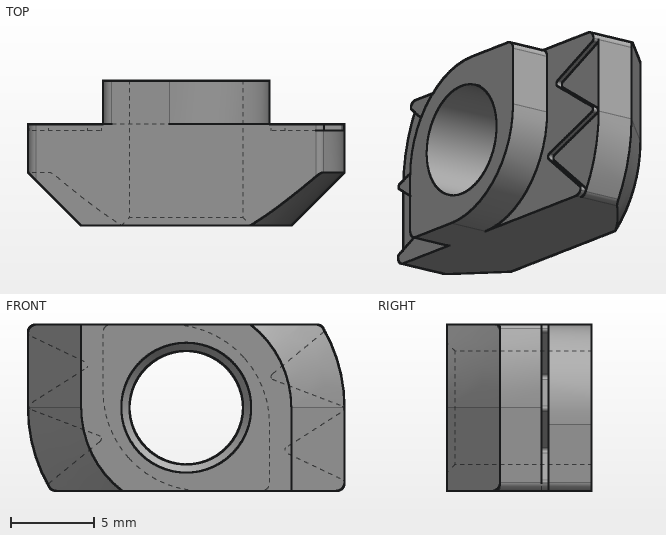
import cadquery as cq
import math

half_length = 9.505
half_height = 5.0
flange_depth = 5.7
rim_depth = 0.4
boss_depth = 2.6
front_chamfer = 3.2
corner_radius = 0.5
boss_turn_radius = 6.0
turn_clearance = 0.001
hole_diameter = 6.8
hole_chamfer = 0.5

tooth_radius = 0.2
top_tip_height = 4.38
upper_root_height = 2.57
middle_tip_height = 0.03
lower_root_height = -1.8
bottom_tip_height = -4.6
upper_root_reach = 5.7
lower_root_reach = 4.9
middle_tip_reach = 9.69

boss_start = flange_depth + rim_depth
total_depth = boss_start + boss_depth


def prism(profile_points, start, depth):
    """Closed XZ outline extruded along +Y from Y = start."""
    plane = cq.Workplane("XZ", origin=(0, start, 0))
    return plane.polyline(profile_points).close().extrude(-depth)


def turning_block(half_size, turn_radius, start, depth):
    """Square block whose upper right and lower left corners are rounded for turning in a slot."""
    s = half_size
    square = [(-s, -s), (s, -s), (s, s), (-s, s)]
    block = prism(square, start, depth)
    return round_corners(block, [(s, s), (-s, -s)], turn_radius)


def round_corners(body, corners, radius):
    """Round the edges along Y that pass through the given XZ corners."""
    mid_y = body.val().Center().y
    for x, z in corners:
        corner = cq.selectors.NearestToPointSelector((x, mid_y, z))
        body = body.edges("|Y").edges(corner).fillet(radius)
    return body


def both_ends(points):
    """The points together with their half-turn images about the hole axis."""
    return points + [(-x, -z) for x, z in points]


def arc_reach(z):
    """Distance along X from the hole axis to the turning arc of the flange at height z."""
    return math.sqrt(half_length**2 - z**2)


square_corner = (-half_length, half_height)
arc_corner = (-arc_reach(half_height), -half_height)


def make_flange():
    """Turning block cut to the part height, with chamfered front and rounded corners."""
    block = turning_block(half_length, half_length - turn_clearance, 0, flange_depth)
    slab = cq.Workplane("XY").box(2 * half_length, 2 * flange_depth, 2 * half_height)
    flange = block.intersect(slab)
    flange = round_corners(flange, both_ends([square_corner, arc_corner]), corner_radius)
    return flange.intersect(block.faces("<Y").chamfer(front_chamfer))


def make_toothed_rim():
    """Thin layer behind the flange with rounded saw teeth on both ends."""
    teeth = [
        (-half_length, top_tip_height),
        (-upper_root_reach, upper_root_height),
        (-middle_tip_reach, middle_tip_height),
        (-lower_root_reach, lower_root_height),
        (-arc_reach(bottom_tip_height), bottom_tip_height),
    ]
    rim = prism(both_ends([square_corner] + teeth + [arc_corner]), flange_depth, rim_depth)
    rim = round_corners(rim, both_ends([square_corner, arc_corner]), corner_radius)
    return round_corners(rim, both_ends(teeth), tooth_radius)


def make_boss():
    """Square boss with two large turning corners and two small rounded corners."""
    boss = turning_block(half_height, boss_turn_radius, boss_start, boss_depth)
    small_corner = (-half_height, half_height)
    return round_corners(boss, both_ends([small_corner]), corner_radius)


def make_hole():
    """Through hole with a conical chamfer at the front."""
    radius = hole_diameter / 2
    bore = cq.Workplane("XZ").circle(radius).extrude(-total_depth)
    cone = cq.Solid.makeCone(
        radius + hole_chamfer, radius, hole_chamfer, cq.Vector(0, 0, 0), cq.Vector(0, 1, 0)
    )
    return bore.union(cq.Workplane(cone))


result = make_flange().union(make_toothed_rim()).union(make_boss()).cut(make_hole())